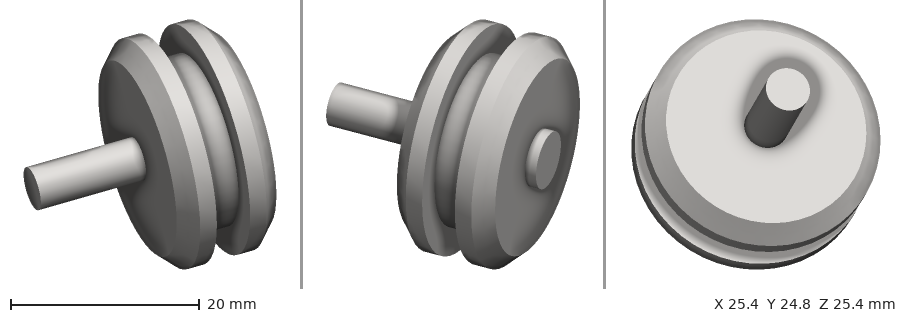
import cadquery as cq

wheel_diameter = 25.4
groove_diameter = 19.05
wheel_width = 11.43
groove_width = 3.8
edge_chamfer = 1.9
shaft_diameter = 4.75
shaft_length = 12.06
boss_diameter = 6.35
boss_length = 1.27

front_face = -wheel_width / 2
back_face = wheel_width / 2


def cylinder_along_y(diameter, start, length):
    """Solid cylinder on the Y axis, running from start towards +Y."""
    plane = cq.Plane(origin=(0, start, 0), xDir=(1, 0, 0), normal=(0, 1, 0))
    return cq.Workplane(plane).circle(diameter / 2).extrude(length)


def make_wheel():
    """Wheel with chamfered outer edges and a square groove around its rim."""
    blank = cylinder_along_y(wheel_diameter, front_face, wheel_width)
    blank = blank.faces("<Y or >Y").edges().chamfer(edge_chamfer)
    groove_ring = cylinder_along_y(wheel_diameter, -groove_width / 2, groove_width).cut(
        cylinder_along_y(groove_diameter, -groove_width / 2, groove_width)
    )
    return blank.cut(groove_ring)


shaft = cylinder_along_y(shaft_diameter, front_face - shaft_length, shaft_length)
boss = cylinder_along_y(boss_diameter, back_face, boss_length)

result = make_wheel().union(shaft).union(boss)